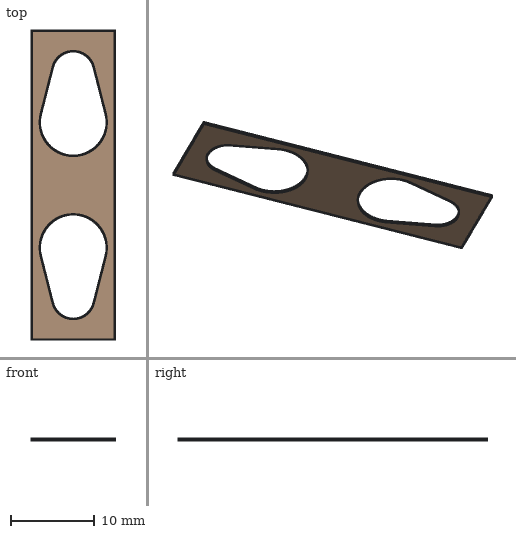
import cadquery as cq
import math

length = 37.0
width = 10.0
thickness = 0.25

large_radius = 4.0
small_radius = 2.5
large_offset = 7.5
small_offset = 13.5


def teardrop_cutter(side):
    """Solid teardrop on the +Y (side = 1) or -Y (side = -1) half of the plate."""
    tangent_sine = (large_radius - small_radius) / (small_offset - large_offset)
    tangent_cosine = math.sqrt(1 - tangent_sine**2)
    large_x = large_radius * tangent_cosine
    large_y = side * (large_offset + large_radius * tangent_sine)
    small_x = small_radius * tangent_cosine
    small_y = side * (small_offset + small_radius * tangent_sine)
    inner_tip = (0, side * (large_offset - large_radius))
    outer_tip = (0, side * (small_offset + small_radius))
    return (
        cq.Workplane("XY")
        .moveTo(large_x, large_y)
        .lineTo(small_x, small_y)
        .threePointArc(outer_tip, (-small_x, small_y))
        .lineTo(-large_x, large_y)
        .threePointArc(inner_tip, (large_x, large_y))
        .close()
        .extrude(thickness, both=True)
    )


result = cq.Workplane("XY").box(width, length, thickness)
for side in (1, -1):
    result = result.cut(teardrop_cutter(side))